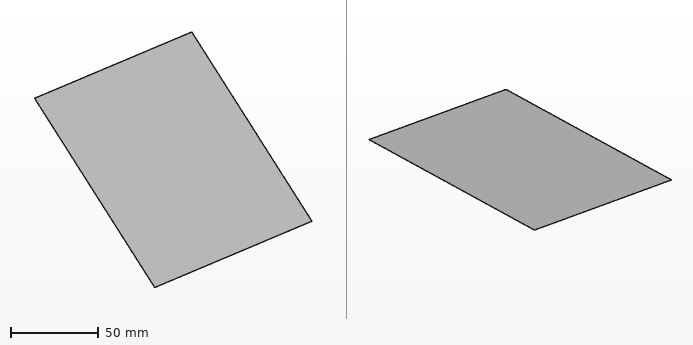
import cadquery as cq

sheet_length = 150.0
sheet_width = 101.6
sheet_thickness = 0.08

result = cq.Workplane("XY").box(sheet_length, sheet_width, sheet_thickness)